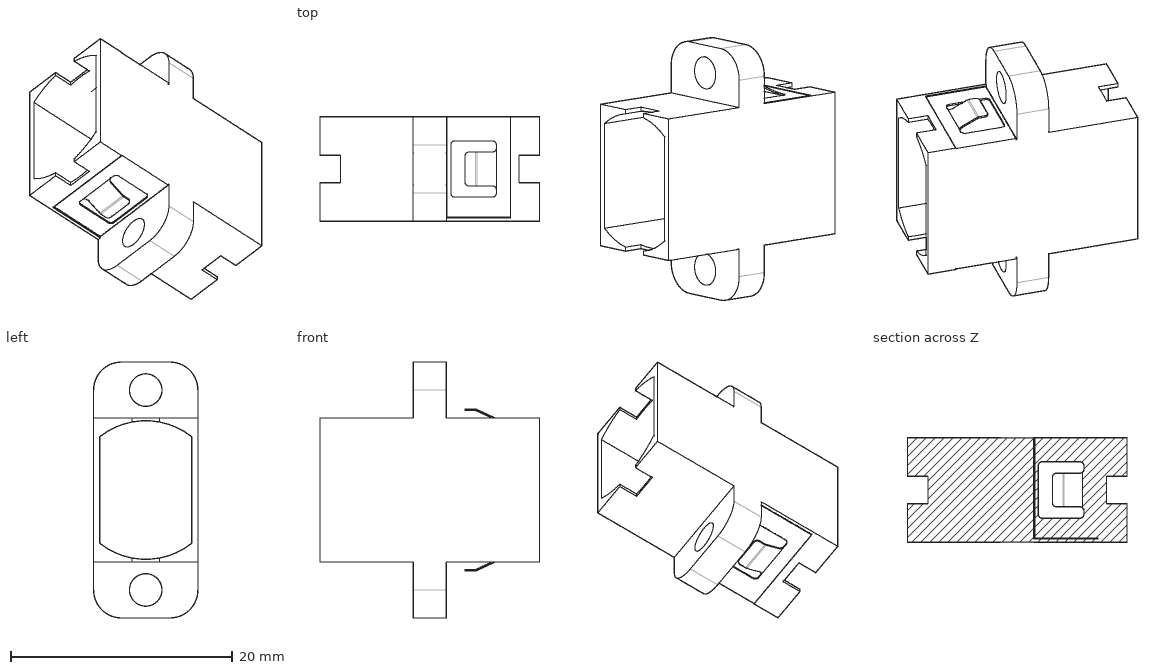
import cadquery as cq

body_length = 19.85
body_width = 9.45
body_height = 13.03
flange_thickness = 3.0
flange_height = 23.15
flange_corner_radius = 2.55
mount_hole_diameter = 2.92
mount_hole_offset = 9.02

cavity_half_width = 4.15
cavity_side_half_height = 4.81
cavity_crown_half_height = 6.25

notch_width = 2.48
notch_depth = 1.85

body_top = body_height / 2
recess_depth = 0.2
recess_start_x = flange_thickness / 2
recess_end_x = 7.3
recess_near_y = -4.42
recess_far_y = body_width / 2
clip_gap = 0.07
sheet_thickness = 0.15
clip_floor = body_top - recess_depth
clip_top = clip_floor + sheet_thickness

opening_start_x = 1.9
opening_end_x = 6.02
opening_width = 5.1
tongue_tip_x = 3.17
tongue_bend_x = 4.19
bend_inner_radius = 0.16
tongue_width = 3.05
tongue_top = 7.31
corner_radius = 0.37


def box_between(x0, x1, y0, y1, z0, z1):
    return cq.Workplane("XY").box(x1 - x0, y1 - y0, z1 - z0, centered=False).translate((x0, y0, z0))


def make_housing():
    flange = cq.Workplane("XY").box(flange_thickness, body_width, flange_height)
    flange = flange.edges("|X").fillet(flange_corner_radius)
    housing = cq.Workplane("XY").box(body_length, body_width, body_height).union(flange)

    cavity = (
        cq.Workplane("YZ", origin=(-body_length / 2, 0, 0))
        .moveTo(-cavity_half_width, -cavity_side_half_height)
        .threePointArc((0, -cavity_crown_half_height), (cavity_half_width, -cavity_side_half_height))
        .lineTo(cavity_half_width, cavity_side_half_height)
        .threePointArc((0, cavity_crown_half_height), (-cavity_half_width, cavity_side_half_height))
        .close()
        .extrude(body_length)
    )
    mount_holes = (
        cq.Workplane("YZ")
        .pushPoints([(0, -mount_hole_offset), (0, mount_hole_offset)])
        .circle(mount_hole_diameter / 2)
        .extrude(flange_thickness, both=True)
    )
    notches = (
        cq.Workplane("XY")
        .pushPoints([(-body_length / 2, 0), (body_length / 2, 0)])
        .rect(2 * notch_depth, notch_width)
        .extrude(body_height, both=True)
    )
    return housing.cut(cavity).cut(mount_holes).cut(notches)


def make_tongue_plan():
    """Vertical prism with the tongue's outline: rounded at the tip, flared at the root."""
    half_width = tongue_width / 2
    flare_half_width = half_width + corner_radius
    return (
        cq.Workplane("XY", origin=(0, 0, clip_floor))
        .moveTo(opening_end_x, -flare_half_width)
        .radiusArc((opening_end_x - corner_radius, -half_width), -corner_radius)
        .lineTo(tongue_tip_x + corner_radius, -half_width)
        .radiusArc((tongue_tip_x, -half_width + corner_radius), corner_radius)
        .lineTo(tongue_tip_x, half_width - corner_radius)
        .radiusArc((tongue_tip_x + corner_radius, half_width), corner_radius)
        .lineTo(opening_end_x - corner_radius, half_width)
        .radiusArc((opening_end_x, flare_half_width), -corner_radius)
        .close()
        .extrude(tongue_top - clip_floor)
    )


def make_clip():
    """Upper clip plate with a rounded opening and a tongue bent upwards."""
    plate = box_between(
        recess_start_x + clip_gap, recess_end_x,
        recess_near_y + clip_gap, recess_far_y,
        clip_floor, clip_top,
    )
    opening = box_between(
        opening_start_x, opening_end_x,
        -opening_width / 2, opening_width / 2,
        clip_floor, clip_top,
    ).edges("|Z").fillet(corner_radius)
    sheet = (
        cq.Workplane("XZ", origin=(0, opening_width / 2, 0))
        .moveTo(opening_end_x, clip_top)
        .lineTo(tongue_bend_x, tongue_top)
        .lineTo(tongue_tip_x, tongue_top)
        .lineTo(tongue_tip_x, tongue_top - sheet_thickness)
        .lineTo(tongue_bend_x, tongue_top - sheet_thickness)
        .lineTo(opening_end_x, clip_floor)
        .close()
        .extrude(opening_width)
    )
    top_bend = cq.selectors.NearestToPointSelector((tongue_bend_x, 0, tongue_top))
    under_bend = cq.selectors.NearestToPointSelector((tongue_bend_x, 0, tongue_top - sheet_thickness))
    sheet = sheet.edges(top_bend).fillet(bend_inner_radius + sheet_thickness)
    sheet = sheet.edges(under_bend).fillet(bend_inner_radius)
    return plate.cut(opening).union(sheet.intersect(make_tongue_plan()))


upper_recess = box_between(
    recess_start_x, recess_end_x, recess_near_y, recess_far_y, clip_floor, body_top
)
upper_clip = make_clip()

result = make_housing()
for recess, clip in (
    (upper_recess, upper_clip),
    (upper_recess.mirror("XY"), upper_clip.mirror("XY")),
):
    result = result.cut(recess).union(clip)